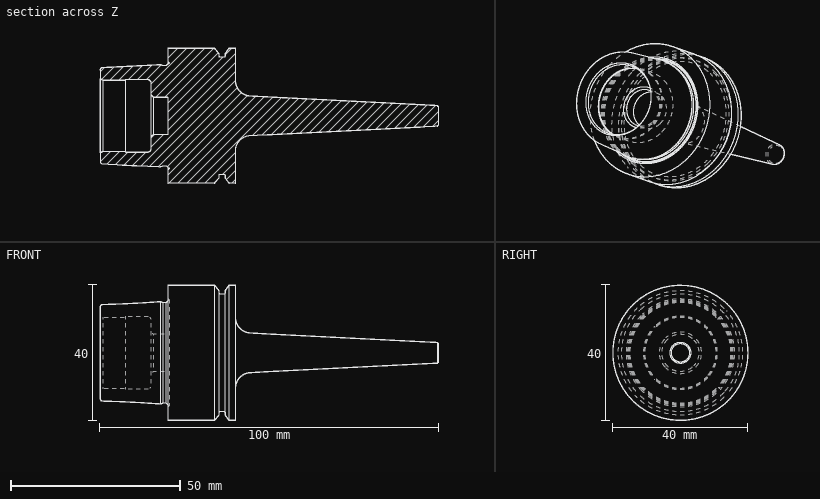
import cadquery as cq
import math

total_length = 100.0
diagonal = math.sqrt(0.5)

shank_start_radius = 14.3
shank_slope = 0.05
mouth_edge_radius = 0.7
shank_end_x = 17.8
relief_start_x = 18.5
relief_radius = 14.9

undercut_start_x = 19.5
undercut_radius = 15.4
face_recess_radius = 16.0
face_recess_depth = 0.4

flange_start_x = 20.0
flange_end_x = 40.0
flange_radius = 20.0

groove_start_x = 33.8
groove_end_x = 38.0
groove_wall_start_x = 35.1
groove_wall_end_x = 36.9
groove_wall_radius = 18.4
groove_floor_radius = 17.4
groove_corner_radius = 0.3

neck_fillet_radius = 4.5
neck_start_radius = 5.9
tip_radius = 3.1
tip_chamfer = 0.4

bore_radius = 10.5
bore_mouth_radius = 10.9
bore_chamfer_length = 0.8
bore_lip_end_x = 7.5
chamber_radius = 10.7
chamber_floor_x = 15.0
chamber_floor_fillet = 1.0

pilot_radius = 5.5
pilot_chamfer = 0.7
pilot_depth = 5.0


def revolve_about_x(profile):
    return profile.close().revolve(360, (0, 0, 0), (1, 0, 0))


def outer_profile():
    shank_end_radius = shank_start_radius + shank_slope * (shank_end_x - mouth_edge_radius)
    neck_start_x = flange_end_x + neck_fillet_radius
    neck_fillet_mid = neck_fillet_radius * (1 - diagonal)
    corner = groove_corner_radius
    corner_mid = corner * (1 - diagonal)

    profile = (
        cq.Workplane("XY")
        .lineTo(0, shank_start_radius - mouth_edge_radius)
        .radiusArc((mouth_edge_radius, shank_start_radius), mouth_edge_radius)
        .lineTo(shank_end_x, shank_end_radius)
        .lineTo(relief_start_x, relief_radius)
    )
    profile = (
        profile.lineTo(undercut_start_x, relief_radius)
        .lineTo(flange_start_x, undercut_radius)
        .lineTo(flange_start_x + face_recess_depth, face_recess_radius - face_recess_depth)
        .lineTo(flange_start_x, face_recess_radius)
        .lineTo(flange_start_x, flange_radius)
    )
    profile = (
        profile.lineTo(groove_start_x, flange_radius)
        .lineTo(groove_wall_start_x, groove_wall_radius)
        .lineTo(groove_wall_start_x, groove_floor_radius + corner)
        .threePointArc(
            (groove_wall_start_x + corner_mid, groove_floor_radius + corner_mid),
            (groove_wall_start_x + corner, groove_floor_radius),
        )
        .lineTo(groove_wall_end_x - corner, groove_floor_radius)
        .threePointArc(
            (groove_wall_end_x - corner_mid, groove_floor_radius + corner_mid),
            (groove_wall_end_x, groove_floor_radius + corner),
        )
        .lineTo(groove_wall_end_x, groove_wall_radius)
        .lineTo(groove_end_x, flange_radius)
        .lineTo(flange_end_x, flange_radius)
    )
    return (
        profile.lineTo(flange_end_x, neck_start_radius + neck_fillet_radius)
        .threePointArc(
            (flange_end_x + neck_fillet_mid, neck_start_radius + neck_fillet_mid),
            (neck_start_x, neck_start_radius),
        )
        .lineTo(total_length - tip_chamfer, tip_radius)
        .lineTo(total_length, tip_radius - tip_chamfer)
        .lineTo(total_length, 0)
    )


def bore_profile():
    fillet = chamber_floor_fillet
    fillet_mid = fillet * (1 - diagonal)
    pilot_end_x = chamber_floor_x + pilot_depth
    return (
        cq.Workplane("XY")
        .lineTo(0, bore_mouth_radius)
        .lineTo(bore_chamfer_length, bore_radius)
        .lineTo(bore_lip_end_x, bore_radius)
        .lineTo(bore_lip_end_x, chamber_radius)
        .lineTo(chamber_floor_x - fillet, chamber_radius)
        .threePointArc(
            (chamber_floor_x - fillet_mid, chamber_radius - fillet_mid),
            (chamber_floor_x, chamber_radius - fillet),
        )
        .lineTo(chamber_floor_x, pilot_radius + pilot_chamfer)
        .lineTo(chamber_floor_x + pilot_chamfer, pilot_radius)
        .lineTo(pilot_end_x, pilot_radius)
        .lineTo(pilot_end_x, 0)
    )


result = revolve_about_x(outer_profile()).cut(revolve_about_x(bore_profile()))